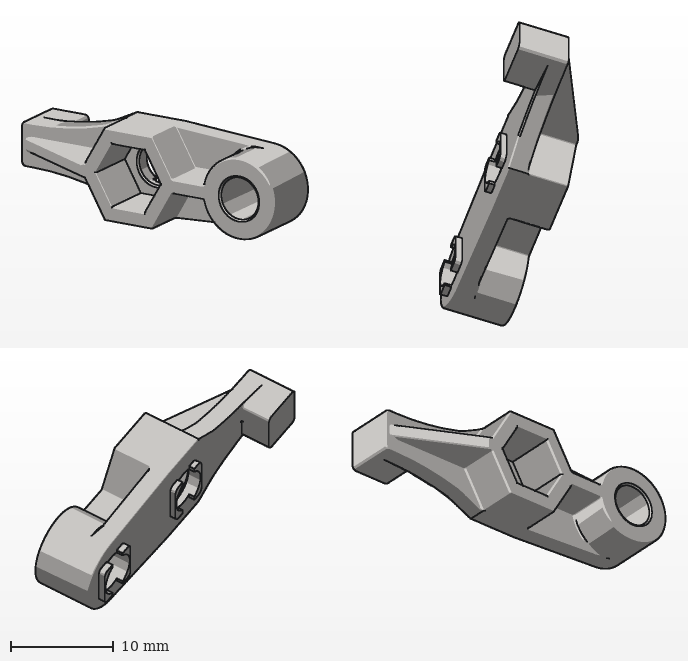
import cadquery as cq
import math

pivot_spacing = 12.7
boss_radius = 4.13
tail_length = 14.95
tail_x = -tail_length
plate_thickness = 2.0
body_depth = 6.3
edge_round = 0.2

hex_apothem = 4.75
hex_half_side = hex_apothem * math.tan(math.radians(30))
hex_corner_radius = 2 * hex_half_side
pocket_apothem = 3.18
pocket_floor = 1.0
hole_radius = 2.13

web_half_width = 0.73
web_sides = (-web_half_width - 0.03, web_half_width + 0.03)
rib_inset = 0.48
rib_edge_round = 0.32

peg_side = 4.58
peg_height = 3.18
peg_corner_radius = 0.5

flare_end_x = -5.28
flare_end_z = 3.5
flare_inset = 1.27
flare_round = 4.77

nut_lip_side = 4.65
nut_lip_height = 0.6
nut_lip_corner_radius = 0.6
nut_lip_slot = 2.05
boss_lip_side = 4.55
boss_lip_height = 0.7
boss_lip_corner_radius = 0.5
boss_lip_slot = 1.78

slab_length = 41.3
slab_height = 12.7
tolerance = 0.03


def front_plane(y=0.0):
    """Sketch plane with local axes X and Z; a positive extrusion goes toward -Y."""
    return cq.Workplane("XZ", origin=(0, y, 0))


def inside(x_range, y_range, z_range, whole=False):
    """Selector for edges whose center, or whole extent, lies in the given ranges."""
    low, high = zip(x_range, y_range, z_range)
    return cq.selectors.BoxSelector(low, high, boundingbox=whole)


def hexagon_prism(apothem, depth, y=0.0):
    corner_diameter = 2 * apothem / math.cos(math.radians(30))
    return front_plane(y).polygon(6, corner_diameter).extrude(depth)


def arm_blank(depth, y=0.0):
    """Arm outline: flared tail, hexagon flats, then straight flanks tangent to the boss."""
    half_tail = peg_side / 2
    flank_run = pivot_spacing - hex_half_side
    flank_angle = math.atan2(hex_apothem, flank_run) - math.asin(
        boss_radius / math.hypot(flank_run, hex_apothem)
    )
    tangent_x = pivot_spacing + boss_radius * math.sin(flank_angle)
    tangent_z = boss_radius * math.cos(flank_angle)
    flare_start_x = tail_x + flare_inset
    run = flare_end_x - flare_start_x
    rise = flare_end_z - half_tail
    flare_radius = (run**2 + rise**2) / (2 * rise)
    blank = (
        front_plane(y)
        .moveTo(tail_x, -half_tail)
        .lineTo(tail_x, half_tail)
        .lineTo(flare_start_x, half_tail)
        .radiusArc((flare_end_x, flare_end_z), -flare_radius)
        .lineTo(-hex_half_side, hex_apothem)
        .lineTo(hex_half_side, hex_apothem)
        .lineTo(tangent_x, tangent_z)
        .threePointArc((pivot_spacing + boss_radius, 0), (tangent_x, -tangent_z))
        .lineTo(hex_half_side, -hex_apothem)
        .lineTo(-hex_half_side, -hex_apothem)
        .lineTo(flare_end_x, -flare_end_z)
        .radiusArc((flare_start_x, -half_tail), -flare_radius)
        .close()
        .extrude(depth)
    )
    blank = blank.edges("|Y and <X").fillet(peg_corner_radius)
    flare_ends = inside(
        (flare_end_x - 0.32, flare_end_x + 0.32), (y - depth, y), (-hex_apothem, hex_apothem)
    )
    return blank.edges("|Y").edges(flare_ends).fillet(flare_round)


def raised_body():
    """Hexagon, boss and connecting web; the hexagon corners facing the tail are rounded."""
    hexagon = hexagon_prism(hex_apothem, body_depth)
    tail_side = inside((-hex_corner_radius, -0.32), (-body_depth, 0), (-hex_apothem - 0.32, hex_apothem + 0.32))
    hexagon = hexagon.edges("|Y").edges(tail_side).fillet(edge_round)
    boss = front_plane().center(pivot_spacing, 0).circle(boss_radius).extrude(body_depth)
    web = (
        front_plane()
        .center(pivot_spacing / 2, 0)
        .rect(pivot_spacing, 2 * web_half_width)
        .extrude(body_depth)
    )
    return hexagon.union(boss).union(web)


def tail_rib():
    """Sloping rib along the tail, with its long front edges rounded."""
    root = -plate_thickness / 2
    start_x = tail_x + rib_inset
    rib = (
        cq.Workplane("XY")
        .moveTo(start_x, -plate_thickness)
        .lineTo(-hex_corner_radius, -body_depth)
        .lineTo(0, -body_depth)
        .lineTo(0, root)
        .lineTo(start_x, root)
        .close()
        .extrude(web_half_width, both=True)
    )
    slope_edges = inside(
        (start_x, -hex_corner_radius), (0.32 - body_depth, -0.32 - plate_thickness), web_sides
    )
    return rib.edges("not |Z").edges(slope_edges).fillet(rib_edge_round)


def rounded_relief():
    """Raised shapes on an oversized slab, with rounded wall corners, feet and front edges."""
    relief = (
        front_plane()
        .rect(slab_length, slab_height)
        .extrude(plate_thickness)
        .union(raised_body())
        .union(tail_rib())
    )
    wall_corners = inside((tail_x, pivot_spacing), (-body_depth, 0), web_sides)
    relief = relief.edges("|Y").edges(wall_corners).fillet(edge_round)
    feet = inside(
        (tail_x, pivot_spacing + boss_radius + tolerance),
        (-plate_thickness - tolerance, -plate_thickness + tolerance),
        (-hex_apothem - tolerance, hex_apothem + tolerance),
        whole=True,
    )
    relief = relief.edges(feet).fillet(edge_round)
    return relief.faces("<Y").edges().fillet(edge_round)


def rounded_arm():
    """Relief trimmed to the arm outline, with the front and back rims of the plate rounded."""
    arm = rounded_relief().intersect(arm_blank(body_depth))
    tail_end = arm.faces("<X").edges("<Y")
    flanks = arm.edges("#Y").edges(
        inside(
            (hex_half_side, pivot_spacing / 2 + hex_half_side),
            (-plate_thickness - tolerance, -plate_thickness + tolerance),
            (-hex_apothem, hex_apothem),
        )
    )
    outer_flanks = flanks.edges("<Z or >Z")
    arm = tail_end.add(outer_flanks).fillet(edge_round)
    arm = arm.faces(">Y").edges().fillet(edge_round)
    upper_tail = cq.Workplane("XY").box(
        tail_length - hex_half_side, edge_round, hex_apothem, centered=False
    )
    upper_tail = upper_tail.translate((tail_x, -edge_round, 0)).intersect(arm_blank(edge_round))
    return arm.union(upper_tail)


def tail_peg():
    """Square peg behind the tail end, with a rounded foot where the plate is wider than it."""
    half_side = peg_side / 2
    center_x = tail_x + half_side

    def peg_block(depth):
        block = front_plane(peg_height).center(center_x, 0).rect(peg_side, peg_side).extrude(depth)
        return block.edges("|Y").fillet(peg_corner_radius)

    slab = front_plane().rect(slab_length, slab_height).extrude(edge_round)
    footed = peg_block(peg_height).union(slab)
    foot = inside(
        (tail_x - tolerance, tail_x + peg_side + tolerance),
        (-tolerance, tolerance),
        (-half_side - tolerance, half_side + tolerance),
        whole=True,
    )
    footed = footed.edges(foot).fillet(edge_round)
    flare_start_x = tail_x + flare_inset
    carrier = cq.Workplane("XY").box(2 * peg_side, peg_height, peg_side, centered=False)
    carrier = carrier.translate((flare_start_x, 0, 0)).intersect(arm_blank(peg_height, peg_height))
    footed = footed.intersect(carrier)
    return peg_block(peg_height + edge_round).union(footed)


def slotted_lip(center_x, side, height, corner_radius, slot):
    """Square collar around a hole at the back, split by a slot along Z."""
    lip = front_plane(height).center(center_x, 0).rect(side, side).extrude(height + edge_round)
    lip = lip.edges("|Y").fillet(corner_radius)
    gap = front_plane(height).center(center_x, 0).rect(slot, 2 * side).extrude(height)
    return lip.cut(gap)


def rounded_hole(center_x, front_y):
    """Cutter for a through hole whose front mouth, at the given Y, is rounded over."""
    bore = front_plane(peg_height).center(center_x, 0).circle(hole_radius)
    mouth = (
        cq.Workplane("XY", origin=(center_x, 0, 0))
        .moveTo(0, front_y)
        .lineTo(hole_radius + edge_round, front_y)
        .radiusArc((hole_radius, front_y + edge_round), -edge_round)
        .lineTo(0, front_y + edge_round)
        .close()
        .revolve(360, (0, 0, 0), (0, 1, 0))
    )
    return bore.extrude(peg_height + body_depth).union(mouth)


body = rounded_arm().union(tail_peg())
body = body.union(
    slotted_lip(0, nut_lip_side, nut_lip_height, nut_lip_corner_radius, nut_lip_slot)
)
body = body.union(
    slotted_lip(
        pivot_spacing, boss_lip_side, boss_lip_height, boss_lip_corner_radius, boss_lip_slot
    )
)

pocket = hexagon_prism(pocket_apothem, body_depth - pocket_floor, -pocket_floor)
body = body.cut(pocket)
pocket_mouth = inside(
    (-hex_apothem, hex_apothem),
    (-body_depth - tolerance, -body_depth + tolerance),
    (-pocket_apothem - tolerance, pocket_apothem + tolerance),
    whole=True,
)
body = body.faces("<Y").edges(pocket_mouth).fillet(edge_round)

body = body.cut(rounded_hole(0, -pocket_floor))
result = body.cut(rounded_hole(pivot_spacing, -body_depth))